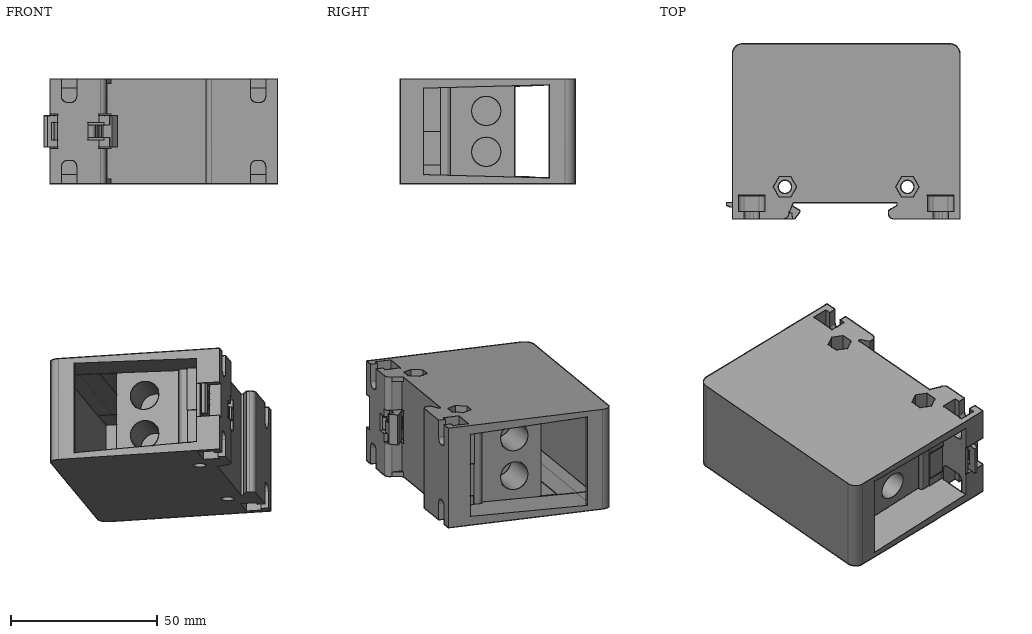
import cadquery as cq
import math


BODY_LENGTH = 78.0
BODY_HEIGHT = 60.1
BODY_WIDTH = 36.0
HALF_WIDTH = BODY_WIDTH / 2
CORNER_RADIUS = 3.5

END_FLOOR_Y = 8.1
COVER_SEAM_Y = 51.0
TAPER_END_Y = 52.5
CEILING_Y = 57.6
CORE_TOP_Y = 39.4
CORE_INSET = 13.8
END_WALL = 1.5
WALL_AT_FLOOR = 3.2
WALL_AT_COVER = 2.0
CORE_WALL_STEP = 0.12
CORE_STEP_Y = 45.2

CABLE_HOLE_DIAMETER = 10.0
CABLE_HOLE_DEPTH = 16.0
CABLE_HOLE_Y = 29.5
CABLE_HOLE_SPACING = 14.0
LEDGE_TOP_Y = 17.4
LEDGE_STEP_Y = 13.9
LEDGE_ROUND = 1.0
LEDGE_DEPTH = 1.6
STEP_DEPTH = 0.3
STEP_SPLIT_Z = -11.6

JAW_ROUND = 1.9
RAIL_SEAT_Y = 5.5
LATCH_JAW_X = 19.4
JAW_HEEL_X = 19.5
SEAT_START_X = 20.9
FIXED_JAW_X = 53.4
FIXED_JAW_LIP_Y = 3.0
SEAT_END_X = 56.4
SEAT_CORNER_Y = 4.7
SIDE_PLATE = 1.7

BOLT_Y = 11.0
BOLT_SPACING = 41.9
BOLT_DIAMETER = 4.5
NUT_FLATS = 7.0
NUT_DEPTH = 8.0

FOOT_X = 6.6
FOOT_PLATE = 2.6
NECK_WIDTH = 5.2
NECK_DEPTH = 8.1
HEAD_WIDTH = 9.1
HEAD_TOP_Y = 8.2
SLOT_ROUND = 2.0

GUIDE_WIDTH = 11.8
GUIDE_NOTCH_X = 2.7
GUIDE_END_X = 21.0
GUIDE_TOP_Y = 6.9
LIP_INSET = 0.2
LIP_BACK_TOP_Y = 7.7
LIP_BACK_RADIUS = 1.6
JAW_GAP_X = 16.8
LATCH_WIDTH = 10.8
LATCH_TIP_X = -2.0
LATCH_BOTTOM_Y = 4.1
LATCH_TOP_Y = 5.8
WINDOW_WIDTH = 6.1
WINDOW_START_X = 0.6
SPRING_WINDOW_X = 13.0
WINDOW_END_X = 18.6
SPRING_WIDTH = 4.3
BLOCK_START_X = 18.2
BLOCK_TOP_Y = 4.0
BLOCK_END_X = 21.1
TAB_EDGE_Y = 4.6
TAB_BEVEL_X = -0.7
NOSE_HEEL_X = 20.4
NOSE_HEEL_Y = 2.1
NOSE_FOOT_START_X = 20.6
NOSE_FOOT_END_X = 21.4
NOSE_TIP_X = 23.2
NOSE_TIP_LOW_Y = 2.4
NOSE_TIP_HIGH_Y = 3.0
NOSE_BACK_X = 18.8
SPRING_ROOT_Y = 0.6
SPRING_ROOT_X = 17.7
SPRING_ARCH = (16.8, 2.4)
SPRING_DIP = (16.2, 1.1)
SPRING_TIP_START = (15.6, 1.4)
SPRING_TIP_MIDDLE = (13.9, 0.5)
SPRING_TIP_END_Y = 1.8
SPRING_CREST_START_X = 14.0
SPRING_CREST_END_X = 17.2


def box(x0, x1, y0, y1, z0, z1):
    """Box between two opposite corners."""
    return cq.Workplane("XY").box(x1 - x0, y1 - y0, z1 - z0, centered=False).translate((x0, y0, z0))


def centred_box(x0, x1, y0, y1, width):
    """Box symmetric about Z = 0."""
    return box(x0, x1, y0, y1, -width / 2, width / 2)


def centred_prism(points, width):
    """Closed XY outline extruded symmetrically about Z = 0."""
    return cq.Workplane("XY").polyline(points).close().extrude(width / 2, both=True)


def mirror_x(shape):
    """Copy of a shape reflected about the middle of the body's length."""
    return shape.mirror("YZ", (BODY_LENGTH / 2, 0, 0))


def body_outline():
    """Solid body with rounded cover corners and the rail channel across its underside."""
    jaw_diagonal = JAW_ROUND * math.sqrt(0.5)
    fixed_round_x = FIXED_JAW_X + JAW_ROUND
    latch_round_x = LATCH_JAW_X - JAW_ROUND
    body = (
        cq.Workplane("XY")
        .lineTo(latch_round_x, 0)
        .threePointArc((latch_round_x + jaw_diagonal, JAW_ROUND - jaw_diagonal), (LATCH_JAW_X, JAW_ROUND))
        .lineTo(SEAT_START_X, RAIL_SEAT_Y)
        .lineTo(SEAT_END_X, RAIL_SEAT_Y)
        .lineTo(SEAT_END_X, SEAT_CORNER_Y)
        .lineTo(FIXED_JAW_X, FIXED_JAW_LIP_Y)
        .lineTo(FIXED_JAW_X, JAW_ROUND)
        .threePointArc((fixed_round_x - jaw_diagonal, JAW_ROUND - jaw_diagonal), (fixed_round_x, 0))
        .lineTo(BODY_LENGTH, 0)
        .lineTo(BODY_LENGTH, BODY_HEIGHT)
        .lineTo(0, BODY_HEIGHT)
        .close()
        .extrude(HALF_WIDTH, both=True)
    )
    body = body.edges("|Z and >Y").fillet(CORNER_RADIUS)
    undercut = centred_prism(
        [(LATCH_JAW_X, JAW_ROUND), (SEAT_START_X, RAIL_SEAT_Y), (JAW_HEEL_X, RAIL_SEAT_Y)],
        BODY_WIDTH - 2 * SIDE_PLATE,
    )
    return body.cut(undercut)


def tapered_opening(x0, x1, y0, y1, extra_wall=0.0):
    """Opening between two levels whose side walls thin towards the cover."""
    slope = (WALL_AT_FLOOR - WALL_AT_COVER) / (TAPER_END_Y - END_FLOOR_Y)
    half_at_floor = HALF_WIDTH - WALL_AT_FLOOR - extra_wall
    half_low = half_at_floor + slope * (y0 - END_FLOOR_Y)
    half_high = half_at_floor + slope * (y1 - END_FLOOR_Y)
    outline = [(y0, -half_low), (y1, -half_high), (y1, half_high), (y0, half_low)]
    return cq.Workplane("YZ").polyline(outline).close().extrude(x1 - x0).translate((x0, 0, 0))


def end_recess():
    """Recess at the latch end, with the stepped ledge left at the foot of the core."""
    mouth = tapered_opening(0, END_WALL, END_FLOOR_Y, COVER_SEAM_Y)
    chamber = tapered_opening(END_WALL, CORE_INSET, END_FLOOR_Y, TAPER_END_Y)
    under_cover = centred_box(END_WALL, CORE_INSET, TAPER_END_Y, CEILING_Y, BODY_WIDTH - 2 * WALL_AT_COVER)
    recess = mouth.union(chamber).union(under_cover)
    ledge_x = CORE_INSET - LEDGE_DEPTH
    ledge = centred_box(ledge_x, CORE_INSET, END_FLOOR_Y, LEDGE_TOP_Y, BODY_WIDTH)
    ledge = ledge.edges("|Z and <X and >Y").fillet(LEDGE_ROUND)
    split_levels = [-HALF_WIDTH, STEP_SPLIT_Z, 0, HALF_WIDTH]
    for count, (low, high) in enumerate(zip(split_levels, split_levels[1:]), start=1):
        step = box(ledge_x - count * STEP_DEPTH, CORE_INSET, END_FLOOR_Y, LEDGE_STEP_Y, low, high)
        ledge = ledge.union(step)
    return recess.cut(ledge)


def cable_holes():
    """Pair of blind holes into the latch end of the core."""
    return (
        cq.Workplane("YZ")
        .workplane(offset=CORE_INSET)
        .pushPoints([(CABLE_HOLE_Y, side * CABLE_HOLE_SPACING / 2) for side in (-1, 1)])
        .circle(CABLE_HOLE_DIAMETER / 2)
        .extrude(CABLE_HOLE_DEPTH)
    )


def core_passage():
    """Passage above the core joining the end recesses, with slightly thicker side walls."""
    x0 = CORE_INSET
    x1 = BODY_LENGTH - CORE_INSET
    lower = tapered_opening(x0, x1, CORE_TOP_Y, CORE_STEP_Y, 2 * CORE_WALL_STEP)
    middle = tapered_opening(x0, x1, CORE_STEP_Y, TAPER_END_Y, CORE_WALL_STEP)
    upper_width = BODY_WIDTH - 2 * (WALL_AT_COVER + CORE_WALL_STEP)
    upper = centred_box(x0, x1, TAPER_END_Y, CEILING_Y, upper_width)
    return lower.union(middle).union(upper)


def bolt_cuts():
    """Cross bolt holes with a hexagonal nut pocket in the top face."""
    centres = [(BODY_LENGTH / 2 + side * BOLT_SPACING / 2, BOLT_Y) for side in (-1, 1)]
    holes = cq.Workplane("XY").pushPoints(centres).circle(BOLT_DIAMETER / 2).extrude(HALF_WIDTH, both=True)
    nut_corners = NUT_FLATS / math.cos(math.pi / 6)
    nuts = (
        cq.Workplane("XY")
        .workplane(offset=HALF_WIDTH - NUT_DEPTH)
        .pushPoints(centres)
        .polygon(6, nut_corners)
        .extrude(NUT_DEPTH)
    )
    return holes.union(nuts)


def foot_slot():
    """T-slot for a foot screw, open to the top face at the latch end."""
    floor_z = HALF_WIDTH - NECK_DEPTH
    neck = box(FOOT_X - NECK_WIDTH / 2, FOOT_X + NECK_WIDTH / 2, 0, HEAD_TOP_Y, floor_z, HALF_WIDTH)
    head = box(FOOT_X - HEAD_WIDTH / 2, FOOT_X + HEAD_WIDTH / 2, FOOT_PLATE, HEAD_TOP_Y,
               floor_z - (HEAD_WIDTH - NECK_WIDTH) / 2, HALF_WIDTH)
    neck = neck.edges("|Y and <Z").fillet(SLOT_ROUND)
    head = head.edges("|Y and <Z").fillet(SLOT_ROUND)
    return neck.union(head)


def latch_guide():
    """Channel for the latch with its end notch, jaw gap and spring window."""
    channel = centred_box(0, GUIDE_END_X, LATCH_BOTTOM_Y, GUIDE_TOP_Y, GUIDE_WIDTH)
    notch = centred_box(0, GUIDE_NOTCH_X, 0, GUIDE_TOP_Y, GUIDE_WIDTH)
    jaw_gap = centred_box(JAW_GAP_X, GUIDE_END_X, 0, GUIDE_TOP_Y, GUIDE_WIDTH)
    spring_window = centred_box(SPRING_WINDOW_X, WINDOW_END_X, 0, GUIDE_TOP_Y, WINDOW_WIDTH)
    lip_inset = centred_box(0, LIP_INSET, GUIDE_TOP_Y, END_FLOOR_Y, GUIDE_WIDTH)
    lip_back = (
        cq.Workplane("XY")
        .moveTo(END_WALL, GUIDE_TOP_Y)
        .radiusArc((GUIDE_NOTCH_X, LIP_BACK_TOP_Y), LIP_BACK_RADIUS)
        .lineTo(GUIDE_NOTCH_X, GUIDE_TOP_Y)
        .close()
        .extrude(GUIDE_WIDTH / 2, both=True)
    )
    for space in (notch, jaw_gap, spring_window, lip_inset, lip_back):
        channel = channel.union(space)
    return channel


def latch():
    """Sliding rail latch: pull tab, windowed bar, hooked nose and spring."""
    bar = centred_prism(
        [
            (LATCH_TIP_X, LATCH_TOP_Y),
            (LATCH_TIP_X, TAB_EDGE_Y),
            (TAB_BEVEL_X, LATCH_BOTTOM_Y),
            (JAW_GAP_X, LATCH_BOTTOM_Y),
            (JAW_GAP_X, NOSE_HEEL_Y),
            (NOSE_HEEL_X, NOSE_HEEL_Y),
            (NOSE_FOOT_START_X, 0),
            (NOSE_FOOT_END_X, 0),
            (NOSE_TIP_X, NOSE_TIP_LOW_Y),
            (NOSE_TIP_X, NOSE_TIP_HIGH_Y),
            (NOSE_BACK_X, LATCH_TOP_Y),
        ],
        LATCH_WIDTH,
    )
    window = centred_box(WINDOW_START_X, WINDOW_END_X, 0, LATCH_TOP_Y, WINDOW_WIDTH)
    block = centred_box(BLOCK_START_X, BLOCK_END_X, 0, BLOCK_TOP_Y, SPRING_WIDTH)
    spring = (
        cq.Workplane("XY")
        .moveTo(BLOCK_START_X, SPRING_ROOT_Y)
        .lineTo(SPRING_ROOT_X, SPRING_ROOT_Y)
        .lineTo(*SPRING_ARCH)
        .lineTo(*SPRING_DIP)
        .lineTo(*SPRING_TIP_START)
        .threePointArc(SPRING_TIP_MIDDLE, (SPRING_WINDOW_X, SPRING_TIP_END_Y))
        .lineTo(SPRING_WINDOW_X, BLOCK_TOP_Y)
        .lineTo(SPRING_CREST_START_X, GUIDE_TOP_Y)
        .lineTo(SPRING_CREST_END_X, GUIDE_TOP_Y)
        .lineTo(BLOCK_START_X, BLOCK_TOP_Y)
        .close()
        .extrude(SPRING_WIDTH / 2, both=True)
    )
    return bar.cut(window).union(block).union(spring)


end_cuts = end_recess().union(cable_holes())
foot_cuts = foot_slot()
foot_cuts = foot_cuts.union(foot_cuts.mirror("XY"))

result = body_outline().cut(core_passage()).cut(bolt_cuts())
for cuts in (end_cuts, foot_cuts):
    result = result.cut(cuts).cut(mirror_x(cuts))
result = result.cut(latch_guide()).union(latch())